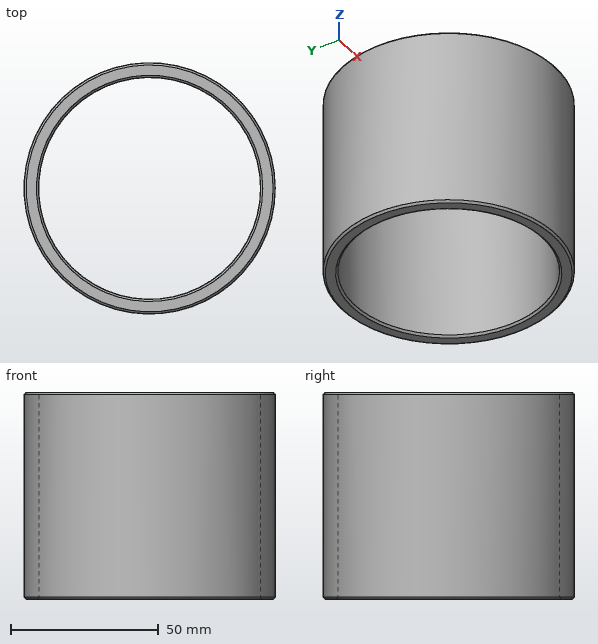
import cadquery as cq

outer_diameter = 85.0
bore_diameter = 75.0
height = 70.0
chamfer = 0.8

sleeve = (
    cq.Workplane("XY")
    .circle(outer_diameter / 2)
    .circle(bore_diameter / 2)
    .extrude(height)
)

result = sleeve.faces("<Z or >Z").edges().chamfer(chamfer)